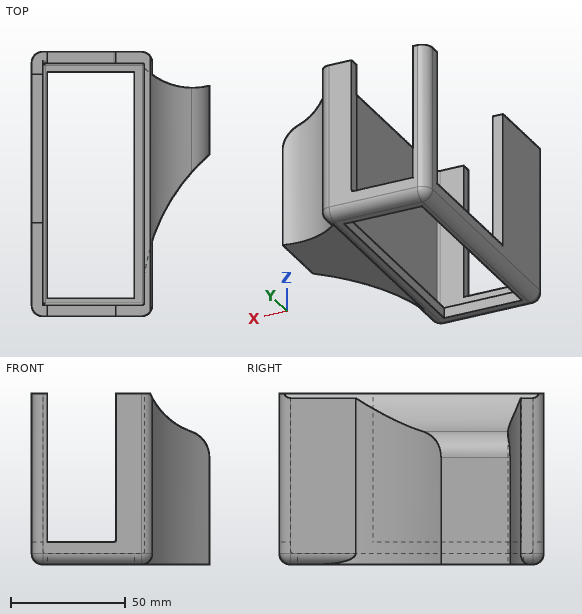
import cadquery as cq
import math

BODY_X = 53.0
BODY_Y = 116.0
BODY_Z = 75.0
EDGE_RADIUS = 5.0

WALL = 5.0
GRIP_WALL = 3.5
FLOOR = 5.0
INNER_FILLET = 1.0

WINDOW_X = (7.0, 45.0)
WINDOW_Y = (8.0, 107.0)

SILL_Z = 10.0
END_SLOT_X = (7.0, 37.0)
SIDE_SLOT_Y = (41.0, 106.0)

GRIP_X = 78.0
UPPER_ARC_CENTER = (70.5, 130.2)
UPPER_ARC_RADIUS = 30.0
LOWER_ARC_CENTER = (134.5, 6.1)
LOWER_ARC_RADIUS = 86.0

NOSE_RADIUS = 12.0
NOSE_Z = 47.0
SWEEP_RADIUS = 30.5
SWEEP_CENTER_X = 80.0


def box_between(x_range, y_range, z_range):
    """Box spanning the given (low, high) ranges."""
    (x0, x1), (y0, y1), (z0, z1) = x_range, y_range, z_range
    return cq.Workplane("XY").box(x1 - x0, y1 - y0, z1 - z0, centered=False).translate((x0, y0, z0))


def point_on(center, radius, angle):
    return (center[0] + radius * math.cos(angle), center[1] + radius * math.sin(angle))


def arc_points(center, radius, start, end):
    """Middle and end points of an arc running from one angle to another."""
    return point_on(center, radius, (start + end) / 2), point_on(center, radius, end)


def make_body():
    body = box_between((0, BODY_X), (0, BODY_Y), (0, BODY_Z))
    return body.edges("|Z or <Z").fillet(EDGE_RADIUS)


def make_grip():
    """Block with two arc sides, rooted at the inner face of the +X wall."""
    root_x = BODY_X - GRIP_WALL

    def upper_angle(x):
        return -math.acos((x - UPPER_ARC_CENTER[0]) / UPPER_ARC_RADIUS)

    def lower_angle(x):
        return math.acos((x - LOWER_ARC_CENTER[0]) / LOWER_ARC_RADIUS)

    upper_start = point_on(UPPER_ARC_CENTER, UPPER_ARC_RADIUS, upper_angle(root_x))
    lower_start = point_on(LOWER_ARC_CENTER, LOWER_ARC_RADIUS, lower_angle(GRIP_X))
    upper_arc = arc_points(UPPER_ARC_CENTER, UPPER_ARC_RADIUS, upper_angle(root_x), upper_angle(GRIP_X))
    lower_arc = arc_points(LOWER_ARC_CENTER, LOWER_ARC_RADIUS, lower_angle(GRIP_X), lower_angle(root_x))
    outline = cq.Workplane("XY").moveTo(*upper_start).threePointArc(*upper_arc)
    outline = outline.lineTo(*lower_start).threePointArc(*lower_arc).close()
    return outline.extrude(BODY_Z)


def make_side_profile():
    """Full-width prism under the S-curve, which trims the grip and the top of the +X wall."""
    nose_center = (GRIP_X - NOSE_RADIUS, NOSE_Z)
    offset_x = SWEEP_CENTER_X - nose_center[0]
    offset_z = math.sqrt((NOSE_RADIUS + SWEEP_RADIUS) ** 2 - offset_x ** 2)
    sweep_center = (SWEEP_CENTER_X, NOSE_Z + offset_z)
    tangent_angle = math.atan2(offset_z, offset_x)
    rim_angle = math.pi + math.asin((sweep_center[1] - BODY_Z) / SWEEP_RADIUS)

    nose_arc = arc_points(nose_center, NOSE_RADIUS, 0, tangent_angle)
    sweep_arc = arc_points(sweep_center, SWEEP_RADIUS, math.pi + tangent_angle, rim_angle)
    profile = cq.Workplane("XZ").lineTo(GRIP_X, 0).lineTo(GRIP_X, NOSE_Z)
    profile = profile.threePointArc(*nose_arc).threePointArc(*sweep_arc)
    return profile.lineTo(0, BODY_Z).close().extrude(-BODY_Y)


def make_cavity():
    """Cavity with rounded floor edges and rounded corners along the +X wall."""
    cavity = box_between((WALL, BODY_X - GRIP_WALL), (WALL, BODY_Y - WALL), (FLOOR, BODY_Z))
    return cavity.edges("<Z or (|Z and >X)").fillet(INNER_FILLET)


def make_window():
    return box_between(WINDOW_X, WINDOW_Y, (0, FLOOR))


def make_end_slots():
    """Openings in the -Y and +Y walls; the +Y one has one rounded bottom corner."""
    near = box_between(END_SLOT_X, (0, WALL), (SILL_Z, BODY_Z))
    far = box_between(END_SLOT_X, (BODY_Y - WALL, BODY_Y), (SILL_Z, BODY_Z))
    return near.union(far.edges("|Y and >X and <Z").fillet(INNER_FILLET))


def make_side_slot():
    return box_between((0, WALL), SIDE_SLOT_Y, (SILL_Z, BODY_Z))


def make_post_rounding():
    """Material removed to round the top inner edge of the +Y post beside its slot."""
    inner_y = BODY_Y - WALL
    x_range = (WALL, END_SLOT_X[0])
    corner = box_between(x_range, (inner_y, inner_y + INNER_FILLET), (BODY_Z - INNER_FILLET, BODY_Z))
    round_bar = (
        cq.Workplane("YZ", origin=(WALL, inner_y + INNER_FILLET, BODY_Z - INNER_FILLET))
        .circle(INNER_FILLET)
        .extrude(END_SLOT_X[0] - WALL)
    )
    return corner.cut(round_bar)


result = make_body().union(make_grip()).intersect(make_side_profile())
for cutter in (make_cavity(), make_window(), make_end_slots(), make_side_slot(), make_post_rounding()):
    result = result.cut(cutter)